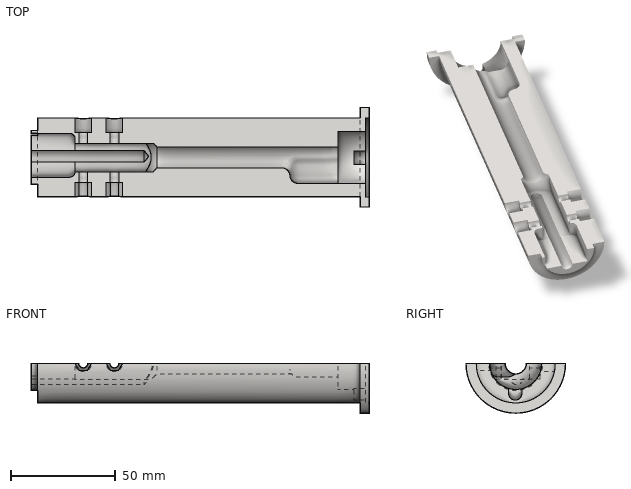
import cadquery as cq
import math


length = 162.5
body_radius = 19.0
flange_diameter = 48.0
flange_radius = flange_diameter / 2
flange_thickness = 4.4
spigot_radius = 13.0
spigot_length = 3.1

bore_radius = 5.0
bore_start = 60.5
end_bore_radius = 12.5
end_bore_start = 147.4
recess_depth = 2.0
recess_start = length - recess_depth

pocket_length = 21.1
pocket_width = 21.1
pocket_depth = 7.5
pocket_offset = 1.0
pocket_corner_radius = 2.8
channel_width = 13.8
channel_depth = 7.8
channel_offset = -0.25
pilot_radius = 2.8
pilot_offset = 0.5
pilot_length = 54.3
pilot_tip_length = 2.3

bolt_positions = (25.0, 40.0)
bolt_hole_diameter = 4.2
bolt_head_diameter = 7.8
nut_across_flats = 6.8
bolt_seat_distance = 12.0

relief_start = 124.3
relief_near_side = 0.25
relief_far_side = -end_bore_radius
relief_depth = 6.5
relief_fillet = 3.9

key_diameter = 6.3
key_start = 155.2
key_offset = -0.25
key_axis_depth = 14.5


def rod(radius, start, end, y=0.0, z=0.0):
    """Cylinder parallel to X."""
    return cq.Workplane("YZ", origin=(start, y, z)).circle(radius).extrude(end - start)


def revolve_about_x(points, y=0.0, z=0.0):
    """Solid of revolution about a line parallel to X, from (x, radius) points."""
    profile = cq.Workplane("XY", origin=(0, y, z)).polyline(points).close()
    return profile.revolve(360, (0, 0, 0), (1, 0, 0))


def half_sleeve():
    flange_start = length - flange_thickness
    sleeve = (
        rod(spigot_radius, 0, spigot_length)
        .union(rod(body_radius, spigot_length, flange_start))
        .union(rod(flange_radius, flange_start, length))
    )
    lower_half = (
        cq.Workplane("XY")
        .rect(2 * length, 2 * flange_radius)
        .extrude(-flange_radius)
    )
    return sleeve.intersect(lower_half)


def pocket():
    block = (
        cq.Workplane("XY", origin=(0, pocket_offset, 0))
        .rect(2 * pocket_length, pocket_width)
        .extrude(-pocket_depth)
    )
    return block.edges("|Z").fillet(pocket_corner_radius)


def channel():
    """Flat-bottomed channel that ends in a 45 degree cone running down to the bore."""
    cone_tip = bore_start + bore_radius
    block = (
        cq.Workplane("XY", origin=(0, channel_offset, 0))
        .center((pocket_length + bore_start) / 2, 0)
        .rect(bore_start - pocket_length, channel_width)
        .extrude(-channel_depth)
    )
    cone = revolve_about_x([
        (0, 0),
        (cone_tip, 0),
        (cone_tip - body_radius, body_radius),
        (0, body_radius),
    ])
    return block.intersect(cone)


def pilot_hole():
    """Pointed blind hole with its axis on the pocket floor."""
    points = [
        (0, 0),
        (pilot_length + pilot_tip_length, 0),
        (pilot_length, pilot_radius),
        (0, pilot_radius),
    ]
    return revolve_about_x(points, pilot_offset, -pocket_depth)


def bore_with_relief():
    """Main bore joined to its side relief, with rounded inner and outer edges."""
    bore = rod(bore_radius, bore_start, end_bore_start)
    relief = (
        cq.Workplane("XY")
        .box(
            end_bore_start - relief_start,
            relief_near_side - relief_far_side,
            2 * relief_depth,
            centered=(False, False, True),
        )
        .translate((relief_start, relief_far_side, 0))
        .edges("|X or <X")
        .fillet(relief_fillet)
    )
    breakout_edges = cq.selectors.BoxSelector(
        (relief_start - bore_radius, -bore_radius, -bore_radius),
        (end_bore_start - relief_fillet, 0, bore_radius),
    )
    return bore.union(relief).edges(breakout_edges).fillet(relief_fillet)


def key_groove():
    round_bottom = rod(key_diameter / 2, key_start, recess_start, key_offset, -key_axis_depth)
    straight_sides = (
        cq.Workplane("YZ", origin=(key_start, key_offset, -key_axis_depth / 2))
        .rect(key_diameter, key_axis_depth)
        .extrude(recess_start - key_start)
    )
    return round_bottom.union(straight_sides)


def bolt_cut(x):
    hole = (
        cq.Workplane("XZ", origin=(x, 0, 0))
        .circle(bolt_hole_diameter / 2)
        .extrude(body_radius, both=True)
    )
    head_seat = (
        cq.Workplane("XZ", origin=(x, bolt_seat_distance, 0))
        .circle(bolt_head_diameter / 2)
        .extrude(-body_radius)
    )
    nut_across_corners = nut_across_flats / math.cos(math.pi / 6)
    nut_seat = (
        cq.Workplane("XZ", origin=(x, -bolt_seat_distance, 0))
        .polygon(6, nut_across_corners)
        .extrude(body_radius)
    )
    return hole.union(head_seat).union(nut_seat)


result = (
    half_sleeve()
    .cut(pocket())
    .cut(channel())
    .cut(pilot_hole())
    .cut(bore_with_relief())
    .cut(rod(end_bore_radius, end_bore_start, length))
    .cut(rod(body_radius, recess_start, length))
    .cut(key_groove())
)
for bolt_x in bolt_positions:
    result = result.cut(bolt_cut(bolt_x))